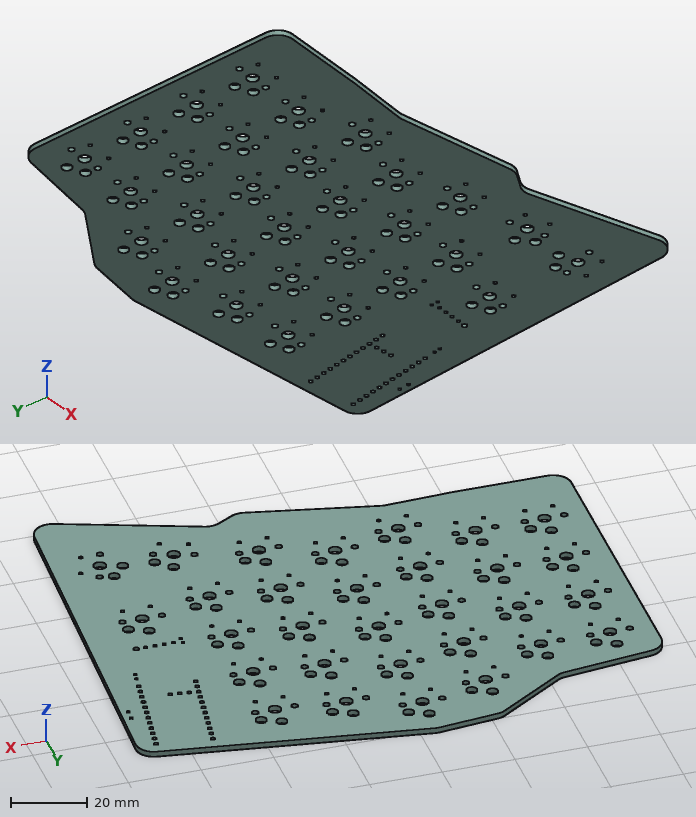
import cadquery as cq
import math

length = 146.8
left = -length / 2
right = length / 2
thickness = 1.6

corner_radius = 5.0
corner_overhang = 0.2
outline = [
    (left, 43.0),
    (-43.2, 46.7),
    (-22.8, 60.0),
    (-4.4, 62.0),
    (right + corner_overhang, 49.9),
    (68.4, -63.9),
    (22.6, -47.7),
    (14.7, -52.1),
    (-23.0, -43.9),
    (-42.3, -44.6),
    (left, -44.6),
]

column_steps = 3.406
key_pitch = 64.7 / column_steps
first_column_x = -61.5
columns = [(-25.4, 4), (-25.4, 4), (-32.5, 5), (-27.3, 5), (-33.5, 5), (-16.5, 4)]
inner_key = (53.6, -11.3)
thumb_tilt = -18.0
thumb_keys = [(36.4, -38.2, thumb_tilt), (56.5, -38.9, thumb_tilt + 90)]

stem_diameter = 3.4
contact_diameter = 3.0
contacts = [(0, 6.0), (5.0, 3.8)]
peg_diameter = 1.8
peg_offset = 5.5
pin_diameter = 1.0
pin_offset = 3.8
pin_drop = 5.0

board_center = (58.7, 34.2)
board_tilt = -8.2
board_pins = 12
board_pin_pitch = 27.9 / (board_pins - 1)
board_row_spacing = 15.1
board_pin_diameter = 1.09
side_row_index = 2
side_row_count = 3

header_start = (49.2, 2.0)
header_count = 4
header_pitch = 10.3 / header_count
header_pin_diameter = 0.9
header_end_diameter = 1.5
pair_diameter = 0.75
pair_pitch = 2.0
edge_pair_pitch = 3.1
edge_pair_diameter = 0.9
edge_tilt = -2.6
pairs = [
    (70.6, 31.7, edge_pair_pitch, edge_tilt, edge_pair_diameter),
    (63.5, 14.7, pair_pitch, board_tilt, pair_diameter),
    (46.8, 1.8, pair_pitch, 0, pair_diameter),
]


def placed(points, center, turn):
    """Turn points by an angle in degrees about their origin, then move that origin to a centre."""
    c = math.cos(math.radians(turn))
    s = math.sin(math.radians(turn))
    return [(center[0] + x * c - y * s, center[1] + x * s + y * c) for x, y in points]


def make_plate():
    """The solid sheet with each vertical edge rounded."""
    sheet = cq.Workplane("XY").polyline(outline).close().extrude(thickness)
    return sheet.edges("|Z").fillet(corner_radius)


def key_positions():
    """Centre and turn of every key."""
    keys = [(*inner_key, 0)] + thumb_keys
    for column, (bottom_y, count) in enumerate(columns):
        x = first_column_x + column * key_pitch
        keys += [(x, bottom_y + row * key_pitch, 0) for row in range(count)]
    return keys


def key_holes():
    """Hole positions of all keys, as (diameter, points) groups."""
    switch = [
        (stem_diameter, [(0, 0)]),
        (contact_diameter, contacts),
        (peg_diameter, [(-peg_offset, 0), (peg_offset, 0)]),
        (pin_diameter, [(-pin_offset, -pin_drop), (pin_offset, -pin_drop)]),
    ]
    groups = []
    for diameter, points in switch:
        spots = [spot for x, y, turn in key_positions() for spot in placed(points, (x, y), turn)]
        groups.append((diameter, spots))
    return groups


def board_holes():
    """Pin holes of the controller board."""
    half_span = (board_pins - 1) * board_pin_pitch / 2
    points = []
    for x in (-board_row_spacing / 2, board_row_spacing / 2):
        points += [(x, pin * board_pin_pitch - half_span) for pin in range(board_pins)]
    side_y = side_row_index * board_pin_pitch - half_span
    for step in range(1, side_row_count + 1):
        points.append((step * board_pin_pitch - board_row_spacing / 2, side_y))
    return [(board_pin_diameter, placed(points, board_center, board_tilt))]


def connector_holes():
    """The straight header with its larger end hole, and the two-hole connectors."""
    x, y = header_start
    pins = [(x + pin * header_pitch, y) for pin in range(header_count)]
    end_hole = (x + header_count * header_pitch, y)
    groups = [(header_pin_diameter, pins), (header_end_diameter, [end_hole])]
    for x, y, spacing, turn, diameter in pairs:
        ends = [(0, -spacing / 2), (0, spacing / 2)]
        groups.append((diameter, placed(ends, (x, y), turn)))
    return groups


drills = []
for hole_diameter, hole_points in key_holes() + board_holes() + connector_holes():
    group = cq.Workplane("XY").pushPoints(hole_points).circle(hole_diameter / 2).extrude(thickness)
    drills += group.solids().vals()
result = make_plate().cut(cq.Workplane(cq.Compound.makeCompound(drills))).solids()